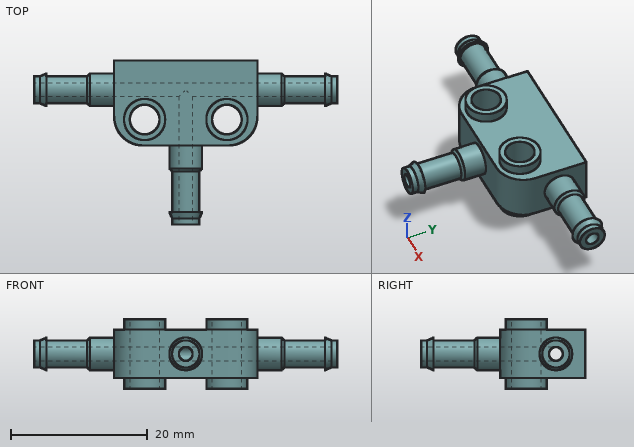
import cadquery as cq

overall_length = 44.4
overall_depth = 24.0
overall_height = 10.2

body_length = 21.0
body_depth = 12.48
body_height = 7.1
corner_radius = 4.25
axis_to_back = 4.3
body_back = axis_to_back
body_front = body_back - body_depth

boss_diameter = 6.05
boss_hole_diameter = 4.3
boss_spacing = 12.05
boss_to_front = 3.8

collar_diameter = 4.8
neck_diameter = 4.0
barb_diameter = 4.8
bore_diameter = 2.0
tip_land = 0.9
tip_to_barb = 1.8
tip_to_neck_end = 7.75
tip_to_collar = 8.2

tip_x = overall_length / 2
tip_y = overall_depth - body_back


def make_body():
    """Block with its two front vertical edges rounded."""
    block = cq.Workplane("XY").box(body_length, body_depth, body_height)
    block = block.translate((0, (body_back + body_front) / 2, 0))
    return block.edges("|Z and <Y").fillet(corner_radius)


def make_stem(tip):
    """Solid barbed stem along +X, from the origin to the given tip distance."""
    neck_radius = neck_diameter / 2
    collar_radius = collar_diameter / 2
    profile = [
        (0, 0),
        (0, collar_radius),
        (tip - tip_to_collar, collar_radius),
        (tip - tip_to_neck_end, neck_radius),
        (tip - tip_to_barb, neck_radius),
        (tip - tip_to_barb, barb_diameter / 2),
        (tip - tip_land, neck_radius),
        (tip, neck_radius),
        (tip, 0),
    ]
    return cq.Workplane("XY").polyline(profile).close().revolve(360, (0, 0, 0), (1, 0, 0))


def make_cylinders(diameter):
    """Pair of upright cylinders of full height at the boss positions."""
    boss_y = body_front + boss_to_front
    centers = [(-boss_spacing / 2, boss_y), (boss_spacing / 2, boss_y)]
    return (
        cq.Workplane("XY", origin=(0, 0, -overall_height / 2))
        .pushPoints(centers)
        .circle(diameter / 2)
        .extrude(overall_height)
    )


def make_bore(tip):
    """Flow passage along +X, from the origin to the given tip distance."""
    return cq.Workplane("YZ").circle(bore_diameter / 2).extrude(tip)


stems = [(0, tip_x), (180, tip_x), (-90, tip_y)]

result = make_body().union(make_cylinders(boss_diameter))
for angle, tip in stems:
    result = result.union(make_stem(tip).rotate((0, 0, 0), (0, 0, 1), angle))

for angle, tip in stems:
    result = result.cut(make_bore(tip).rotate((0, 0, 0), (0, 0, 1), angle))

result = result.cut(make_cylinders(boss_hole_diameter))